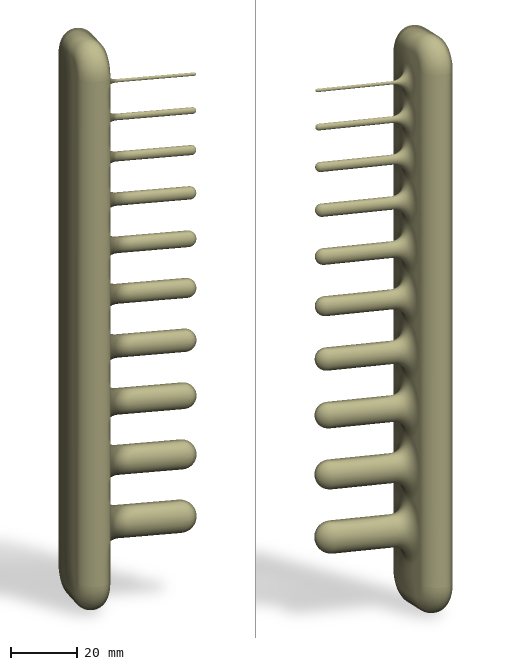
import cadquery as cq

plate_length = 180.0
plate_width = 31.0
plate_thickness = 10.0
corner_radius = 10.0
edge_flat = 0.07
edge_radius = (plate_thickness - edge_flat) / 2

overall_depth = 40.0
pin_count = 10
diameter_step = 1.0
pin_length = overall_depth - plate_thickness
root_radius = 5.0
top_margin = 15.0
bottom_margin = 20.0

pin_diameters = [diameter_step * number for number in range(1, pin_count + 1)]
free_length = plate_length - top_margin - bottom_margin - sum(pin_diameters)
pin_gap = free_length / (pin_count - 1)


def make_plate():
    """Rounded bar whose back face lies on Y = 0."""
    return (
        cq.Workplane("XZ")
        .rect(plate_width, plate_length)
        .extrude(plate_thickness)
        .edges("|Y")
        .fillet(corner_radius)
        .faces("<Y or >Y")
        .edges()
        .fillet(edge_radius)
    )


def make_pin(diameter, height):
    """Pin along +Y with a hemispherical tip and a flared root, revolved about its axis."""
    radius = diameter / 2
    embed = plate_thickness / 2
    diagonal = 0.5 ** 0.5
    root_mid = (
        radius + root_radius * (1 - diagonal),
        root_radius * (1 - diagonal),
    )
    tip_start = pin_length - radius
    tip_mid = (radius * diagonal, tip_start + radius * diagonal)
    profile = (
        cq.Workplane("XY")
        .moveTo(0, -embed)
        .lineTo(radius, -embed)
        .lineTo(radius + root_radius, 0)
        .threePointArc(root_mid, (radius, root_radius))
        .lineTo(radius, tip_start)
        .threePointArc(tip_mid, (0, pin_length))
        .close()
    )
    return profile.revolve(360, (0, 0, 0), (0, 1, 0)).translate((0, 0, height))


result = make_plate()
pin_top = plate_length / 2 - top_margin
for pin_diameter in pin_diameters:
    result = result.union(make_pin(pin_diameter, pin_top - pin_diameter / 2))
    pin_top -= pin_diameter + pin_gap